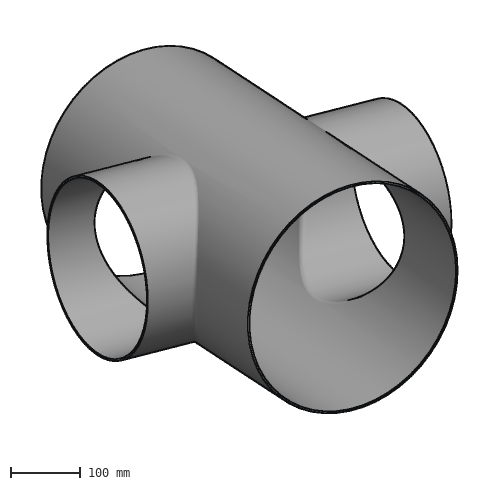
import cadquery as cq

run_length = 560.0
run_outer_diameter = 355.5
run_inner_diameter = 349.5
branch_span = 514.0
branch_outer_diameter = 273.0
branch_inner_diameter = 267.0
outer_blend_radius = 5.0
wall = (run_outer_diameter - run_inner_diameter) / 2
inner_blend_radius = outer_blend_radius + wall


def blended_cross(run_diameter, branch_diameter, blend_radius):
    """Cylinder along X crossed by one along Y, with the saddle-shaped junctions rounded."""
    run = cq.Workplane("YZ").circle(run_diameter / 2).extrude(run_length / 2, both=True)
    branch = cq.Workplane("XZ").circle(branch_diameter / 2).extrude(branch_span / 2, both=True)
    return run.union(branch).edges("not (%LINE or %CIRCLE)").fillet(blend_radius)


outer_cross = blended_cross(run_outer_diameter, branch_outer_diameter, outer_blend_radius)
bore_cross = blended_cross(run_inner_diameter, branch_inner_diameter, inner_blend_radius)
result = outer_cross.cut(bore_cross)